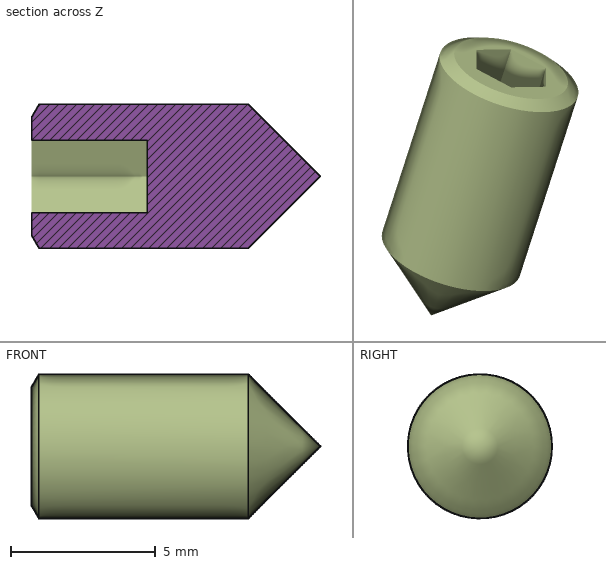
import cadquery as cq
import math

length = 10.0
radius = 2.5
point_length = radius
chamfer_depth = 0.45
chamfer_angle = 30.0
socket_across_flats = 2.5
socket_depth = 4.0

chamfer_length = chamfer_depth * math.tan(math.radians(chamfer_angle))
socket_across_corners = socket_across_flats / math.cos(math.radians(30.0))


def make_body():
    """Revolve the half profile: chamfered end, cylinder and sharp cone."""
    return (
        cq.Workplane("XY")
        .moveTo(0, 0)
        .lineTo(0, radius - chamfer_depth)
        .lineTo(chamfer_length, radius)
        .lineTo(length - point_length, radius)
        .lineTo(length, 0)
        .close()
        .revolve(360, (0, 0, 0), (1, 0, 0))
    )


def make_socket():
    """Flat-bottomed hexagon with two corners on the vertical centre plane."""
    return (
        cq.Workplane("YZ")
        .transformed(rotate=(0, 0, 90))
        .polygon(6, socket_across_corners)
        .extrude(socket_depth)
    )


result = make_body().cut(make_socket())